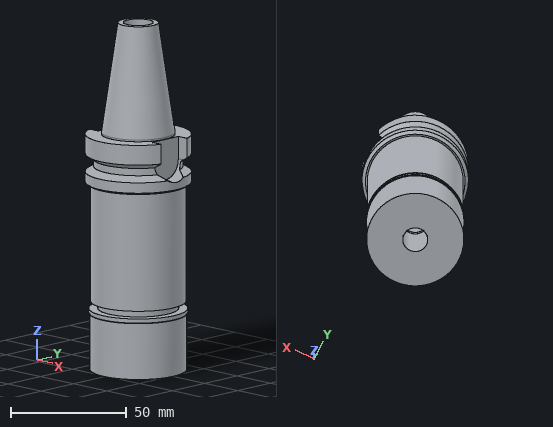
import cadquery as cq

TOTAL_HEIGHT = 153.4
FLANGE_TOP = 104.2
TAPER_BASE = FLANGE_TOP + 0.8
GROOVE_UPPER_EDGE = 95.4
GROOVE_UPPER_FLOOR = 93.1
GROOVE_LOWER_FLOOR = 89.9
GROOVE_LOWER_EDGE = 87.6
FLANGE_CHAMFER_TOP = 83.0
FLANGE_BOTTOM = 82.0
BODY_BOTTOM = 30.2
COLLAR_TOP = 27.0
COLLAR_BOTTOM = 24.9
COLLAR_CHAMFER = 0.3

TAPER_BASE_RADIUS = 16.0
TAPER_RATE = 7 / 48
TAPER_TOP_RADIUS = TAPER_BASE_RADIUS - TAPER_RATE * (TOTAL_HEIGHT - TAPER_BASE)
FLANGE_RADIUS = 23.0
GROOVE_RADIUS = 19.3
FLANGE_CHAMFER_RADIUS = 21.5
BODY_RADIUS = 20.7
NECK_RADIUS = 17.5
COLLAR_RADIUS = 21.5
NUT_RADIUS = 21.0

DRAWBAR_BORE_RADIUS = 6.5
DRAWBAR_BORE_DEPTH = 6.9
THROUGH_BORE_RADIUS = 5.4

SLOT_WIDTH = 16.1
SLOT_FACE = 16.3
SLOT_BOTTOM = 86.2


def revolve_profile(points):
    """Turn a closed (radius, height) outline around the Z axis."""
    return cq.Workplane("XZ").polyline(points).close().revolve(360, (0, 0), (0, 1))


def drive_slot(side):
    """Round-bottomed drive slot cutter, on the +X (side = 1) or -X (side = -1) side."""
    radius = SLOT_WIDTH / 2
    arc_centre = SLOT_BOTTOM + radius
    return (
        cq.Workplane("YZ", origin=(side * SLOT_FACE, 0, 0))
        .moveTo(-radius, FLANGE_TOP)
        .lineTo(-radius, arc_centre)
        .threePointArc((0, SLOT_BOTTOM), (radius, arc_centre))
        .lineTo(radius, FLANGE_TOP)
        .close()
        .extrude(side * FLANGE_RADIUS)
    )


def make_holder():
    """Taper shank, grooved flange, cylindrical body and neck, with a stepped bore."""
    bore_step = TOTAL_HEIGHT - DRAWBAR_BORE_DEPTH
    holder = revolve_profile([
        (THROUGH_BORE_RADIUS, COLLAR_TOP),
        (NECK_RADIUS, COLLAR_TOP),
        (NECK_RADIUS, BODY_BOTTOM),
        (BODY_RADIUS, BODY_BOTTOM),
        (BODY_RADIUS, FLANGE_BOTTOM),
        (FLANGE_CHAMFER_RADIUS, FLANGE_BOTTOM),
        (FLANGE_RADIUS, FLANGE_CHAMFER_TOP),
        (FLANGE_RADIUS, GROOVE_LOWER_EDGE),
        (GROOVE_RADIUS, GROOVE_LOWER_FLOOR),
        (GROOVE_RADIUS, GROOVE_UPPER_FLOOR),
        (FLANGE_RADIUS, GROOVE_UPPER_EDGE),
        (FLANGE_RADIUS, FLANGE_TOP),
        (TAPER_BASE_RADIUS, FLANGE_TOP),
        (TAPER_BASE_RADIUS, TAPER_BASE),
        (TAPER_TOP_RADIUS, TOTAL_HEIGHT),
        (DRAWBAR_BORE_RADIUS, TOTAL_HEIGHT),
        (DRAWBAR_BORE_RADIUS, bore_step),
        (THROUGH_BORE_RADIUS, bore_step),
    ])
    for side in (-1, 1):
        holder = holder.cut(drive_slot(side))
    return holder


def make_collar():
    """Flat ring between the holder neck and the nut, chamfered at its lower rim."""
    return revolve_profile([
        (THROUGH_BORE_RADIUS, COLLAR_BOTTOM),
        (COLLAR_RADIUS - COLLAR_CHAMFER, COLLAR_BOTTOM),
        (COLLAR_RADIUS, COLLAR_BOTTOM + COLLAR_CHAMFER),
        (COLLAR_RADIUS, COLLAR_TOP),
        (THROUGH_BORE_RADIUS, COLLAR_TOP),
    ])


def make_nut():
    """Plain cylindrical clamping nut with the through bore."""
    return revolve_profile([
        (THROUGH_BORE_RADIUS, 0),
        (NUT_RADIUS, 0),
        (NUT_RADIUS, COLLAR_BOTTOM),
        (THROUGH_BORE_RADIUS, COLLAR_BOTTOM),
    ])


holder = make_holder()
collar = make_collar()
nut = make_nut()
result = cq.Compound.makeCompound([holder.val(), collar.val(), nut.val()])